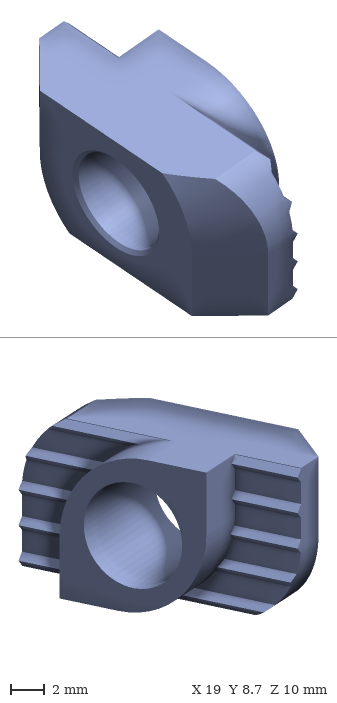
import cadquery as cq
import math

length = 19.0
height = 10.0
depth = 8.7
half_length = length / 2
half_height = height / 2

flange_depth = 5.28
end_radius = 5.6
bevel = 3.2

stem_radius = 6.0

ridge_height = 0.42
ridge_half_width = 0.44
ridge_pitch = 2.26
ridge_count = 5

bore_diameter = 6.69
bore_chamfer = 0.25


def extrude_back(outline, start, end):
    """Extrude a closed XZ outline from y = start to y = end."""
    return outline.extrude(start - end).translate((0, start, 0))


def half_turn(solid):
    """Turn a solid half way round the bore axis."""
    return solid.rotate((0, 0, 0), (0, 1, 0), 180)


def flange_outline():
    """Left ends square above and rounded below; the right end is the half turn of it."""
    arc_center = half_length - end_radius
    arc_end = arc_center + math.sqrt(end_radius**2 - half_height**2)
    mid_angle = math.asin(half_height / end_radius) / 2
    mid_x = arc_center + end_radius * math.cos(mid_angle)
    mid_z = end_radius * math.sin(mid_angle)
    return (
        cq.Workplane("XZ")
        .moveTo(-half_length, half_height)
        .lineTo(arc_end, half_height)
        .threePointArc((mid_x, mid_z), (half_length, 0))
        .lineTo(half_length, -half_height)
        .lineTo(-arc_end, -half_height)
        .threePointArc((-mid_x, -mid_z), (-half_length, 0))
        .close()
    )


def ridges():
    ridge = (
        cq.Workplane("YZ")
        .moveTo(flange_depth, -ridge_half_width)
        .lineTo(flange_depth + ridge_height, 0)
        .lineTo(flange_depth, ridge_half_width)
        .close()
        .extrude(half_length, both=True)
    )
    row = cq.Workplane("XY")
    for index in range(ridge_count):
        z = (index - (ridge_count - 1) / 2) * ridge_pitch
        row = row.add(ridge.translate((0, 0, z)))
    ridge_depth = flange_depth + ridge_height
    clip = extrude_back(flange_outline(), 0, ridge_depth)
    return row.combine().intersect(clip)


def bevel_envelope():
    """Flat bevels at the square ends, a cone about the bore axis at the rounded ends."""
    flats = (
        cq.Workplane("XY")
        .polyline([
            (-half_length + bevel, 0),
            (half_length - bevel, 0),
            (half_length, bevel),
            (half_length, depth),
            (-half_length, depth),
            (-half_length, bevel),
        ])
        .close()
        .extrude(half_height, both=True)
    )
    cone = (
        cq.Workplane("XY")
        .polyline([
            (0, 0),
            (half_length - bevel, 0),
            (half_length, bevel),
            (half_length, depth),
            (0, depth),
        ])
        .close()
        .revolve(360, (0, 0, 0), (0, 1, 0))
    )
    upper_right = cq.Workplane("XY").box(half_length, depth, half_height, centered=False)
    rounded_quarters = upper_right.union(half_turn(upper_right))
    square_quarters = flats.cut(rounded_quarters)
    return square_quarters.union(cone.intersect(rounded_quarters))


def stem():
    block = cq.Workplane("XY").box(height, depth - flange_depth, height)
    block = block.translate((0, (depth + flange_depth) / 2, 0))
    lower_left = cq.selectors.NearestToPointSelector((-half_height, depth, -half_height))
    upper_right = cq.selectors.NearestToPointSelector((half_height, depth, half_height))
    rounded_corners = cq.selectors.SumSelector(lower_left, upper_right)
    return block.edges("|Y").edges(rounded_corners).fillet(stem_radius)


def bore():
    bore_radius = bore_diameter / 2
    return (
        cq.Workplane("XY")
        .polyline([
            (0, 0),
            (bore_radius + bore_chamfer, 0),
            (bore_radius, bore_chamfer),
            (bore_radius, depth),
            (0, depth),
        ])
        .close()
        .revolve(360, (0, 0, 0), (0, 1, 0))
    )


flange = extrude_back(flange_outline(), 0, flange_depth).intersect(bevel_envelope())
result = flange.union(ridges()).union(stem()).cut(bore())